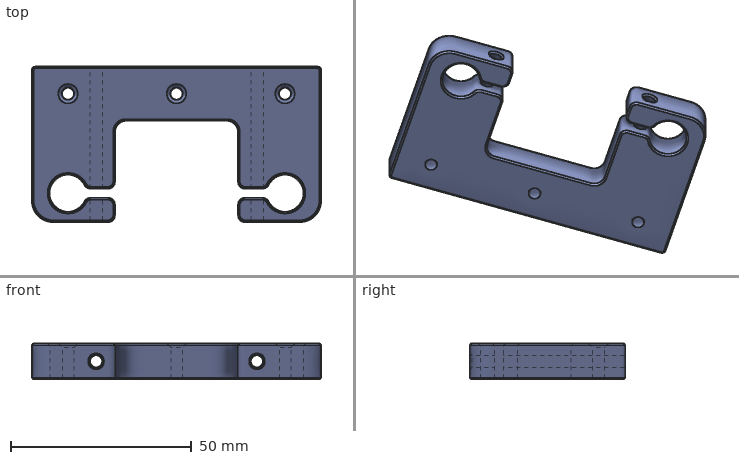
import cadquery as cq

length = 80
depth = 43.0
thickness = 10.0
edge_chamfer = 0.5
front_corner_radius = 6.0
back_corner_radius = 1.0

cutout_width = 34.0
back_bar_depth = 15.0
cutout_corner_radius = 3.0
tip_radius = 2.0

rod_offset_x = 30.0
rod_offset_y = 8
rod_diameter = 10.2
slit_width = 2.5
slit_mouth_radius = 2.0

clamp_screw_offset_x = 22.2
clamp_screw_diameter = 3.4
clamp_screw_mouth_diameter = 4.4

mount_spacing = rod_offset_x
mount_inset = back_bar_depth / 2
mount_diameter = 3.3
mount_mouth_diameter = 5.4

half_length = length / 2
half_cutout = cutout_width / 2
half_thickness = thickness / 2
cutout_depth = depth - back_bar_depth
rod_radius = rod_diameter / 2
slit_front = rod_offset_y - slit_width / 2
slit_back = rod_offset_y + slit_width / 2
slit_mouth_x = rod_offset_x - (rod_radius**2 - (slit_width / 2) ** 2) ** 0.5

pick_tolerance = 0.04


def block(size_x, size_y, center_x, start_y):
    """Full-thickness block, running from start_y toward +Y."""
    solid = cq.Workplane("XY").box(size_x, size_y, thickness, centered=(True, False, False))
    return solid.translate((center_x, start_y, 0))


def mirrored(x, y):
    """The point and its mirror image across the YZ plane."""
    return [(x, y), (-x, y)]


def round_corners(body, points, radius):
    """Fillet the vertical edges that pass through the given XY points."""
    targets = [cq.Vector(x, y, half_thickness) for x, y in points]

    def is_target(edge):
        return any((edge.Center() - target).Length < pick_tolerance for target in targets)

    return body.edges("|Z").filter(is_target).fillet(radius)


def drill(diameter, mouth_diameter, run):
    """Cutter running along +Z from the origin, with a 90 degree countersink at its start."""
    countersink_depth = (mouth_diameter - diameter) / 2
    shaft = cq.Workplane("XY").circle(diameter / 2).extrude(run)
    cone = cq.Solid.makeCone(mouth_diameter / 2, diameter / 2, countersink_depth)
    return shaft.union(cq.Workplane(cone))


body = block(length, depth, 0, 0)
body = body.cut(block(cutout_width, cutout_depth, 0, 0))

slit_length = rod_offset_x - half_cutout
slit_center_x = (rod_offset_x + half_cutout) / 2
for side in (-1, 1):
    bore = cq.Workplane("XY").circle(rod_radius).extrude(thickness)
    body = body.cut(bore.translate((side * rod_offset_x, rod_offset_y, 0)))
    body = body.cut(block(slit_length, slit_width, side * slit_center_x, slit_front))

body = round_corners(body, mirrored(half_length, 0), front_corner_radius)
body = round_corners(body, mirrored(half_length, depth), back_corner_radius)
body = round_corners(body, mirrored(half_cutout, cutout_depth), cutout_corner_radius)
for y in (0, slit_front, slit_back):
    body = round_corners(body, mirrored(half_cutout, y), tip_radius)
for y in (slit_front, slit_back):
    body = round_corners(body, mirrored(slit_mouth_x, y), slit_mouth_radius)

body = body.faces("<Z or >Z").edges().chamfer(edge_chamfer)

clamp_drill = drill(clamp_screw_diameter, clamp_screw_mouth_diameter, depth)
clamp_drill = clamp_drill.rotate((0, 0, 0), (1, 0, 0), -90)
for side in (-1, 1):
    body = body.cut(clamp_drill.translate((side * clamp_screw_offset_x, 0, half_thickness)))

mount_drill = drill(mount_diameter, mount_mouth_diameter, thickness)
mount_drill = mount_drill.rotate((0, 0, 0), (1, 0, 0), 180)
for step in (-1, 0, 1):
    body = body.cut(mount_drill.translate((step * mount_spacing, depth - mount_inset, thickness)))

result = body